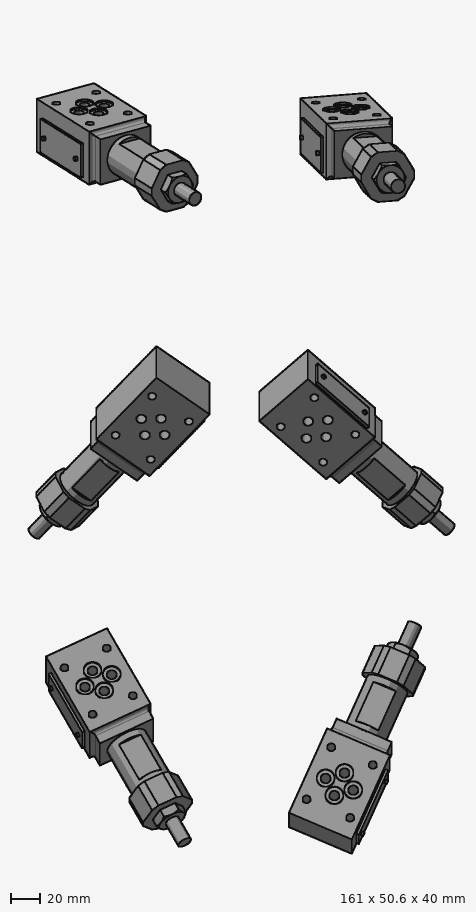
import cadquery as cq
import math

OVERALL_LENGTH = 161.0

BLOCK_LENGTH = 65.0
BLOCK_WIDTH = 47.0
BLOCK_HEIGHT = 40.0

COLLAR_MARGIN = 2.9
FILLET_CLEARANCE = 0.03
COLLAR_FILLET = COLLAR_MARGIN - FILLET_CLEARANCE
COLLAR_END = 74.7

BODY_DIAMETER = 30.0
BODY_END = 114.6
FLAT_SPACING = 24.8
FLAT_START = 79.5
FLAT_LENGTH = 30.1

KNOB_ACROSS_FLATS = 35.5
KNOB_ACROSS_CORNERS = 37.7
KNOB_END = 135.5

NUT_ACROSS_FLATS = 19.8
NUT_END = 142.3
NUT_CHAMFER_LENGTH = 1.2
ROD_DIAMETER = 10.0

BOLT_DIAMETER = 5.5
LEFT_BOLT_X = 13.5
RIGHT_BOLT_X = 54.0
LEFT_BOLT_SPACING = 32.5
RIGHT_BOLT_SPACING = 31.0

PORT_DIAMETER = 6.8
SEAL_DIAMETER = 12.2
SEAL_DEPTH = 1.3
PORT_X = 32.5
PORT_OFFSET_X = 8.7
PORT_OFFSET_Y = 10.3

PLATE_LENGTH = 49.9
PLATE_HEIGHT = 25.3
PLATE_THICKNESS = 2.0
PLATE_START = 7.5
PLATE_BOTTOM_GAP = 2.9
PIN_DIAMETER = 3.0
PIN_HEIGHT = 1.6
PIN_INSET = 5.0


def box_between(x_start, x_end, width, height):
    """Box centred on the X axis, from x_start to x_end."""
    return cq.Workplane("YZ").workplane(offset=x_start).rect(width, height).extrude(x_end - x_start)


def round_between(x_start, x_end, diameter):
    """Cylinder on the X axis, from x_start to x_end."""
    return cq.Workplane("YZ").workplane(offset=x_start).circle(diameter / 2).extrude(x_end - x_start)


def hexagon_between(x_start, x_end, across_flats, turn=0):
    """Hexagonal prism on the X axis; with no turn it has corners on +Y and -Y."""
    corner_diameter = across_flats / math.cos(math.pi / 6)
    outline = cq.Workplane("YZ").workplane(offset=x_start).polygon(6, corner_diameter)
    prism = outline.extrude(x_end - x_start)
    return prism.rotate((0, 0, 0), (1, 0, 0), turn)


def make_block():
    block = box_between(0, BLOCK_LENGTH, BLOCK_WIDTH, BLOCK_HEIGHT)
    collar = box_between(
        BLOCK_LENGTH, COLLAR_END, BLOCK_WIDTH - 2 * COLLAR_MARGIN, BLOCK_HEIGHT - 2 * COLLAR_MARGIN
    )
    half_width = (BLOCK_WIDTH - COLLAR_MARGIN) / 2
    half_height = (BLOCK_HEIGHT - COLLAR_MARGIN) / 2
    inside_corner = cq.selectors.BoxSelector(
        (BLOCK_LENGTH - COLLAR_FILLET / 2, -half_width, -half_height),
        (BLOCK_LENGTH + COLLAR_FILLET / 2, half_width, half_height),
    )
    return block.union(collar).edges(inside_corner).fillet(COLLAR_FILLET)


def make_body():
    body = round_between(COLLAR_END, BODY_END, BODY_DIAMETER)
    flat_depth = (BODY_DIAMETER - FLAT_SPACING) / 2
    for side in (-1, 1):
        flat_cut = cq.Workplane("XY").box(FLAT_LENGTH, BODY_DIAMETER, flat_depth).translate(
            (FLAT_START + FLAT_LENGTH / 2, 0, side * (FLAT_SPACING + flat_depth) / 2)
        )
        body = body.cut(flat_cut)
    return body


def make_knob():
    hexagon = hexagon_between(BODY_END, KNOB_END, KNOB_ACROSS_FLATS)
    corner_cut = hexagon_between(BODY_END, KNOB_END, KNOB_ACROSS_CORNERS, turn=30)
    return hexagon.intersect(corner_cut)


def make_lock_nut():
    hexagon = hexagon_between(KNOB_END, NUT_END, NUT_ACROSS_FLATS)
    corner_diameter = NUT_ACROSS_FLATS / math.cos(math.pi / 6)
    chamfered_corners = (
        cq.Workplane("XY")
        .moveTo(KNOB_END, 0)
        .lineTo(KNOB_END, corner_diameter / 2)
        .lineTo(NUT_END - NUT_CHAMFER_LENGTH, corner_diameter / 2)
        .lineTo(NUT_END, NUT_ACROSS_FLATS / 2)
        .lineTo(NUT_END, 0)
        .close()
        .revolve(360, (0, 0, 0), (1, 0, 0))
    )
    return hexagon.intersect(chamfered_corners)


def make_name_plate():
    block_face = -BLOCK_WIDTH / 2
    plate_bottom = -BLOCK_HEIGHT / 2 + PLATE_BOTTOM_GAP
    plate = cq.Workplane("XY").box(PLATE_LENGTH, PLATE_THICKNESS, PLATE_HEIGHT, centered=False).translate(
        (PLATE_START, block_face - PLATE_THICKNESS, plate_bottom)
    )
    pin_places = [
        (PLATE_START + PIN_INSET, plate_bottom + PLATE_HEIGHT / 2),
        (PLATE_START + PLATE_LENGTH - PIN_INSET, plate_bottom + PLATE_HEIGHT / 2),
    ]
    pins = (
        cq.Workplane("XZ", origin=(0, block_face, 0))
        .pushPoints(pin_places)
        .circle(PIN_DIAMETER / 2)
        .extrude(PLATE_THICKNESS + PIN_HEIGHT)
    )
    return plate.union(pins)


def drill_block(part):
    bolt_places = []
    for bolt_x, spacing in ((LEFT_BOLT_X, LEFT_BOLT_SPACING), (RIGHT_BOLT_X, RIGHT_BOLT_SPACING)):
        bolt_places += [(bolt_x, -spacing / 2), (bolt_x, spacing / 2)]
    port_places = [
        (PORT_X - PORT_OFFSET_X, 0),
        (PORT_X + PORT_OFFSET_X, 0),
        (PORT_X, -PORT_OFFSET_Y),
        (PORT_X, PORT_OFFSET_Y),
    ]
    top = cq.Workplane("XY", origin=(0, 0, BLOCK_HEIGHT / 2))
    bolt_holes = top.pushPoints(bolt_places).circle(BOLT_DIAMETER / 2).extrude(-BLOCK_HEIGHT)
    port_holes = top.pushPoints(port_places).circle(PORT_DIAMETER / 2).extrude(-BLOCK_HEIGHT)
    seal_recesses = top.pushPoints(port_places).circle(SEAL_DIAMETER / 2).extrude(-SEAL_DEPTH)
    return part.cut(bolt_holes).cut(port_holes).cut(seal_recesses)


rod = round_between(NUT_END, OVERALL_LENGTH, ROD_DIAMETER)

result = drill_block(make_block())
for piece in (make_name_plate(), make_body(), make_knob(), make_lock_nut(), rod):
    result = result.union(piece)